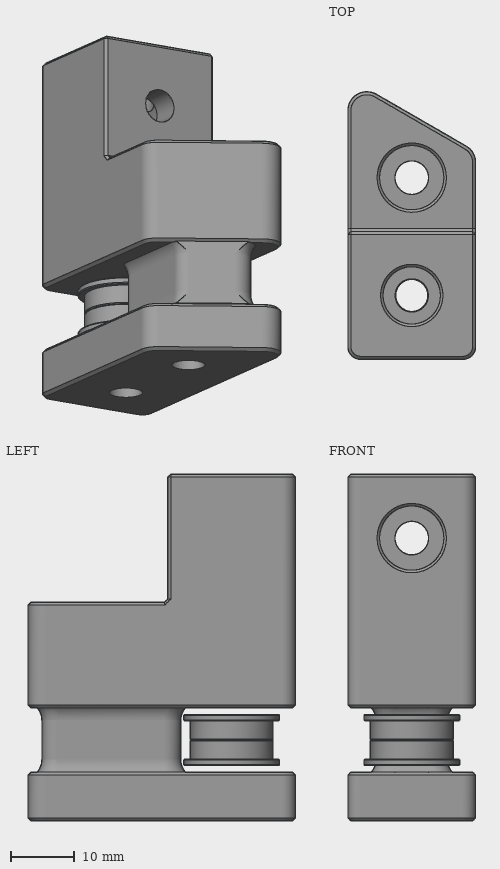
import cadquery as cq
import math

WIDTH = 20.0
DEPTH = 41.85
HEIGHT = 54.2
BASE_HEIGHT = 7.65
GAP_HEIGHT = 10.0
TOWER_DEPTH = 20.0
SHELF_DROP = 20.0
SLANT_ANGLE = 30.0
FRONT_CORNER_RADIUS = 2.0
REAR_CORNER_RADIUS = 3.0
EDGE_CHAMFER = 0.5

NECK_WIDTH = 11.2
NECK_FRONT = 17.95
NECK_CORNER_RADIUS = 2.5
NECK_FILLET_RADIUS = 3.0
NECK_FILLET_SINK = 1.05
SLAB_THICKNESS = 2.7

BOLT_HOLE_DIAMETER = 5.2
WIDE_BORE_DIAMETER = 10.0
TOWER_BORE_DIAMETER = 8.95
HOLE_CHAMFER = 0.4
BEARING_Y = 10.0
SHELF_BOLT_Y = 28.4
CROSS_BOLT_DROP = 10.0
SHELF_BORE_DEPTH = 3.0
CROSS_BORE_DEPTH = 15.0
TOWER_BORE_DEPTH = 25.0

BEARING_HEIGHT = 4.0
BEARING_DIAMETER = 13.0
BEARING_BORE = 5.0
FLANGE_DIAMETER = 15.0
FLANGE_HEIGHT = 1.05
BEARING_CHAMFER = 0.15

CENTER_X = WIDTH / 2
UPPER_Z = BASE_HEIGHT + GAP_HEIGHT
SHELF_Z = HEIGHT - SHELF_DROP
GAP_MIDDLE = cq.Vector(CENTER_X, BEARING_Y, BASE_HEIGHT + GAP_HEIGHT / 2)

REAR_CORNER_ANGLE = math.radians(90 - SLANT_ANGLE)
REAR_APEX_Y = DEPTH + REAR_CORNER_RADIUS * (1 / math.tan(REAR_CORNER_ANGLE / 2) - 1)


def slant_y(x):
    """Y of the slanted rear face at a given X."""
    return REAR_APEX_Y - x * math.tan(math.radians(SLANT_ANGLE))


def slant_normal():
    """Outward direction of the slanted rear face."""
    angle = math.radians(SLANT_ANGLE)
    return cq.Vector(math.sin(angle), math.cos(angle), 0)


def slanted_prism(width, y_front, front_radius, rear_radius, z_bottom, height):
    """Upright prism centred in X, from y_front back to the slanted rear face."""
    x_left = CENTER_X - width / 2
    x_right = CENTER_X + width / 2
    prism = (
        cq.Workplane("XY", origin=(0, 0, z_bottom))
        .moveTo(x_left, y_front)
        .lineTo(x_right, y_front)
        .lineTo(x_right, slant_y(x_right))
        .lineTo(x_left, slant_y(x_left))
        .close()
        .extrude(height)
    )
    prism = prism.edges("|Z and <Y").fillet(front_radius)
    rear_edges = prism.faces(cq.selectors.DirectionMinMaxSelector(slant_normal())).edges("|Z")
    return rear_edges.fillet(rear_radius)


def outer_prism(z_bottom, height):
    """Slice of the full outline of the block."""
    return slanted_prism(WIDTH, 0, FRONT_CORNER_RADIUS, REAR_CORNER_RADIUS, z_bottom, height)


def make_base_plate():
    plate = outer_prism(0, BASE_HEIGHT)
    return plate.faces("<Z or >Z").edges().chamfer(EDGE_CHAMFER)


def make_upper_block():
    """L-shaped block: a tower at the front and a low shelf at the rear."""
    block = outer_prism(UPPER_Z, HEIGHT - UPPER_Z)
    space_above_shelf = cq.Workplane("XY").box(WIDTH, DEPTH, SHELF_DROP, centered=False)
    block = block.cut(space_above_shelf.translate((0, TOWER_DEPTH, SHELF_Z)))

    shelf_point = (CENTER_X, SHELF_BOLT_Y, SHELF_Z)
    rear_wall_point = (CENTER_X, TOWER_DEPTH, SHELF_Z + SHELF_DROP / 2)
    chamfered_edges = (
        block.faces("<Z or >Z").edges()
        .add(block.faces(cq.selectors.NearestToPointSelector(shelf_point)).edges())
        .add(block.faces(cq.selectors.NearestToPointSelector(rear_wall_point)).edges())
    )
    return chamfered_edges.chamfer(EDGE_CHAMFER)


def make_neck():
    """Neck flush with the slanted face, its other sides flaring at both ends.

    Each flare is a fillet onto a plane sunk inside a plate, so it meets the plate at an angle.
    """
    sunk_z = BASE_HEIGHT - NECK_FILLET_SINK
    sunk_height = GAP_HEIGHT + 2 * NECK_FILLET_SINK
    column = slanted_prism(
        NECK_WIDTH, NECK_FRONT, NECK_CORNER_RADIUS, NECK_CORNER_RADIUS, sunk_z, sunk_height
    )
    slab = (
        cq.Workplane("XY")
        .box(2 * WIDTH, 2 * DEPTH, SLAB_THICKNESS)
        .translate((CENTER_X, NECK_FRONT, 0))
    )
    for end_z, outward in ((sunk_z, -1), (sunk_z + sunk_height, 1)):
        column = column.union(slab.translate((0, 0, end_z + outward * SLAB_THICKNESS / 2)))
        foot_edges = cq.selectors.BoxSelector((0, 0, end_z - 0.55), (WIDTH, DEPTH, end_z + 0.55))
        column = column.edges(foot_edges).fillet(NECK_FILLET_RADIUS)
    return column.intersect(outer_prism(BASE_HEIGHT, GAP_HEIGHT))


def bolt_hole(bore_diameter, bore_depth, length):
    """Cutter along +Y from the origin: a counterbored bolt hole with a chamfered rim."""
    hole_radius = BOLT_HOLE_DIAMETER / 2
    bore_radius = bore_diameter / 2
    return (
        cq.Workplane("XY")
        .lineTo(bore_radius + HOLE_CHAMFER, 0)
        .lineTo(bore_radius, HOLE_CHAMFER)
        .lineTo(bore_radius, bore_depth)
        .lineTo(hole_radius, bore_depth)
        .lineTo(hole_radius, length)
        .lineTo(0, length)
        .close()
        .revolve(360, (0, 0, 0), (0, 1, 0))
    )


def pointing_down(cutter):
    return cutter.rotate((0, 0, 0), (1, 0, 0), -90)


def make_block():
    tower_hole = pointing_down(bolt_hole(TOWER_BORE_DIAMETER, TOWER_BORE_DEPTH, HEIGHT))
    shelf_hole = pointing_down(bolt_hole(WIDE_BORE_DIAMETER, SHELF_BORE_DEPTH, SHELF_Z))
    cross_hole = bolt_hole(WIDE_BORE_DIAMETER, CROSS_BORE_DEPTH, TOWER_DEPTH)
    return (
        make_base_plate()
        .union(make_neck())
        .union(make_upper_block())
        .cut(tower_hole.translate((CENTER_X, BEARING_Y, HEIGHT)))
        .cut(shelf_hole.translate((CENTER_X, SHELF_BOLT_Y, SHELF_Z)))
        .cut(cross_hole.translate((CENTER_X, 0, HEIGHT - CROSS_BOLT_DROP)))
    )


def make_bearing():
    """Bearing on the Z axis: the flange is at the bottom, the plain end at Z = 0."""
    body = cq.Workplane("XY").circle(BEARING_DIAMETER / 2).extrude(-BEARING_HEIGHT)
    body = body.faces(">Z").edges().chamfer(BEARING_CHAMFER)
    flange = (
        cq.Workplane("XY", origin=(0, 0, -BEARING_HEIGHT))
        .circle(FLANGE_DIAMETER / 2)
        .extrude(FLANGE_HEIGHT)
        .edges()
        .chamfer(BEARING_CHAMFER)
    )
    bore = cq.Workplane("XY").circle(BEARING_BORE / 2).extrude(-BEARING_HEIGHT)
    return body.union(flange).cut(bore)


block = make_block()

bearings = []
for turn in (0, 180):
    bearing = make_bearing().rotate((0, 0, 0), (1, 0, 0), turn).translate(GAP_MIDDLE)
    bearings.append(bearing.val())

result = cq.Compound.makeCompound([block.solids().val(), *bearings])